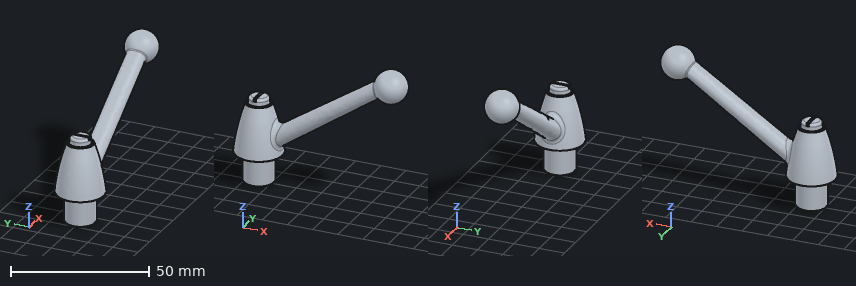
import cadquery as cq
import math

body_bottom = 11.6
body_top = 31.6
head_top = 34.2
overall_height = 54.0

stem_diameter = 12.0
stem_chamfer = 0.55

body_bottom_radius = 9.45
body_top_radius = 5.0
body_bulge = 0.55
body_base_chamfer = 0.35
body_top_chamfer = 0.35

head_diameter = 8.0
head_round = 1.0
counterbore_diameter = 8.2
counterbore_depth = 2.0
counterbore_chamfer = 0.3
slot_width = 1.0
slot_depth = 1.0

arm_angle = 33.9
arm_width = 8.0
arm_start_thickness = 7.7
arm_end_thickness = 6.55
arm_axis_height = 13.95
arm_start_x = 4.1
arm_end_x = 49.2
arm_root_fillet = 2.0
knob_neck_fillet = 0.7

overall_length = 68.4
knob_radius = 6.5
knob_x = overall_length - body_bottom_radius - knob_radius
knob_z = overall_height - knob_radius


def make_body():
    """Revolve the bulged outline about the vertical axis."""
    side_bottom = body_bottom + body_base_chamfer
    side_run = body_bottom_radius - body_top_radius
    side_rise = body_top - side_bottom
    side_length = math.hypot(side_run, side_rise)
    bulge_point = (
        (body_bottom_radius + body_top_radius) / 2 + body_bulge * side_rise / side_length,
        (side_bottom + body_top) / 2 + body_bulge * side_run / side_length,
    )
    body = (
        cq.Workplane("XZ")
        .moveTo(0, body_bottom)
        .lineTo(body_bottom_radius - body_base_chamfer, body_bottom)
        .lineTo(body_bottom_radius, side_bottom)
        .threePointArc(bulge_point, (body_top_radius, body_top))
        .lineTo(0, body_top)
        .close()
        .revolve(360, (0, 0, 0), (0, 1, 0))
    )
    body = body.faces(">Z").edges().chamfer(body_top_chamfer)
    return body.rotate((0, 0, 0), (0, 0, 1), 180)


def make_arm():
    """Loft between two ellipses square to the sloping arm axis."""
    slope = math.radians(arm_angle)
    direction = (math.cos(slope), 0, math.sin(slope))

    def section(x, thickness):
        origin = (x, 0, arm_axis_height + x * math.tan(slope))
        plane = cq.Plane(origin=origin, xDir=(0, 1, 0), normal=direction)
        return cq.Workplane(plane).ellipse(arm_width / 2, thickness / 2).wires().val()

    start = section(arm_start_x, arm_start_thickness)
    end = section(arm_end_x, arm_end_thickness)
    return cq.Workplane(obj=cq.Solid.makeLoft([start, end], True))


def make_knob():
    return cq.Workplane("XY").sphere(knob_radius).translate((knob_x, 0, knob_z))


def make_stem():
    stem = cq.Workplane("XY").circle(stem_diameter / 2).extrude(body_bottom)
    return stem.faces("<Z").edges().chamfer(stem_chamfer)


def make_head():
    """Slotted head, rooted at the floor of the counterbore."""
    floor = body_top - counterbore_depth
    head = cq.Workplane("XY").workplane(offset=floor).circle(head_diameter / 2).extrude(head_top - floor)
    head = head.faces(">Z").edges().fillet(head_round)
    slot = (
        cq.Workplane("XY")
        .workplane(offset=head_top - slot_depth)
        .rect(slot_width, head_diameter)
        .extrude(slot_depth)
    )
    return head.cut(slot)


def make_counterbore():
    """Clearance space around the head, flared at its mouth."""
    floor = body_top - counterbore_depth
    radius = counterbore_diameter / 2
    mouth_radius = radius + counterbore_chamfer
    bore = cq.Workplane("XY").workplane(offset=floor).circle(radius).extrude(counterbore_depth)
    flare = cq.Solid.makeCone(
        radius, mouth_radius, counterbore_chamfer, pnt=cq.Vector(0, 0, body_top - counterbore_chamfer)
    )
    return bore.union(cq.Workplane(obj=flare))


def blend_edges(x_min, x_max):
    """Select edges centred in a range of X and clear of the rims of the body."""
    low = (x_min, -arm_width, body_bottom + 2 * body_base_chamfer)
    high = (x_max, arm_width, overall_height)
    return cq.selectors.BoxSelector(low, high)


lever = make_body().union(make_arm())
lever = lever.edges(blend_edges(arm_start_x, body_bottom_radius)).fillet(arm_root_fillet)
lever = lever.union(make_knob())
lever = lever.edges(blend_edges(knob_x - knob_radius, knob_x)).fillet(knob_neck_fillet)

result = lever.cut(make_counterbore()).union(make_head()).union(make_stem())